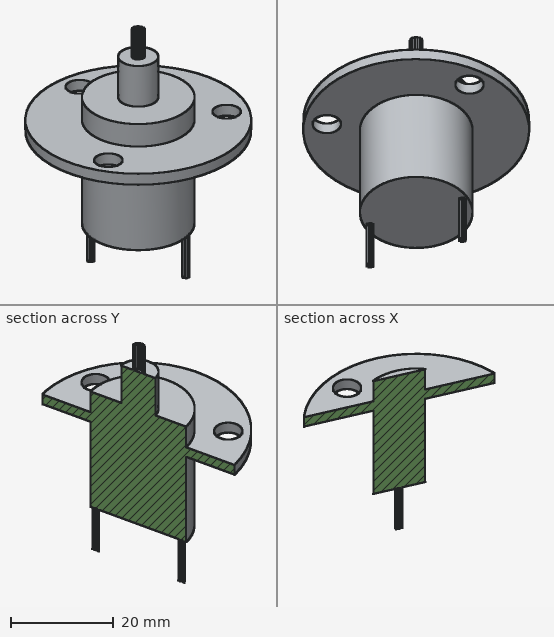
import cadquery as cq
import math

body_bottom = 10.0
flange_bottom = 30.6
flange_top = 33.0
body_top = 38.0
stub_top = 47.0
wire_top = 53.0

flange_radius = 22.0
body_radius = 10.95
stub_radius = 3.9

hole_count = 3
hole_radius = 2.75
hole_circle_radius = 17.5
first_hole_angle = -90.0

wire_overlap = 1.02
upper_wire_count = 12
upper_ring_radius = 1.0
upper_first_angle = -7.0
lower_wire_count = 6
lower_ring_radius = 0.495
lower_first_angle = 0.0
lead_offset = 9.8

wire_embed = 0.25


def cylinder(radius, bottom, top):
    return cq.Workplane("XY").workplane(offset=bottom).circle(radius).extrude(top - bottom)


def wire_bundle(count, ring_radius, first_angle, center_x, bottom, top):
    """Ring of parallel round wires around a vertical axis on the X axis."""
    wire_radius = wire_overlap * ring_radius * math.sin(math.pi / count)
    bundle = cq.Workplane("XY")
    for index in range(count):
        angle = math.radians(first_angle + index * 360.0 / count)
        x = center_x + ring_radius * math.cos(angle)
        y = ring_radius * math.sin(angle)
        bundle = bundle.union(cylinder(wire_radius, bottom, top).translate((x, y, 0)))
    return bundle


def mounting_holes():
    return (
        cq.Workplane("XY")
        .workplane(offset=flange_bottom)
        .polarArray(hole_circle_radius, first_hole_angle, 360, hole_count)
        .circle(hole_radius)
        .extrude(flange_top - flange_bottom)
    )


flange = cylinder(flange_radius, flange_bottom, flange_top).cut(mounting_holes())
body = cylinder(body_radius, body_bottom, body_top)
stub = cylinder(stub_radius, body_top, stub_top)
result = body.union(flange).union(stub)

result = result.union(
    wire_bundle(
        upper_wire_count, upper_ring_radius, upper_first_angle, 0, stub_top - wire_embed, wire_top
    )
)

for side in (-1, 1):
    result = result.union(
        wire_bundle(
            lower_wire_count,
            lower_ring_radius,
            lower_first_angle,
            side * lead_offset,
            0,
            body_bottom + wire_embed,
        )
    )